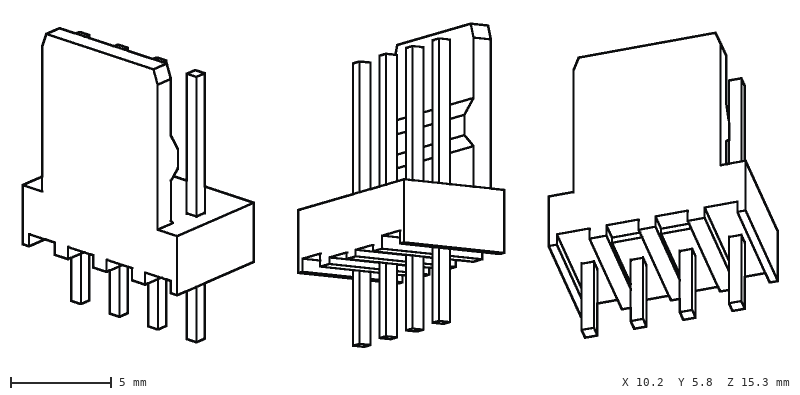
import cadquery as cq

pin_count = 4
pitch = 2.53
pin_side = 0.64
pin_y = -0.02
pin_bottom = 0.0
pin_top = 14.22

base_width = 10.16
base_depth = 5.8
base_bottom = 3.57
base_top = 6.75

slot_height = 0.65
shallow_slot_height = slot_height / 2
rib_width = 0.87
foot_width = 0.43
deep_slot_length = 1.0

wall_width = 7.6
wall_thickness = 1.0
wall_top = 15.26
corner_run = 0.27
corner_drop = 0.75
root_chamfer = 0.15

latch_reach = 0.53
latch_bottom = 9.05
latch_face_bottom = 9.55
latch_face_top = 10.58
latch_top = 11.48

front_y = -base_depth / 2
wall_back_y = front_y + wall_thickness
latch_y = wall_back_y + latch_reach
pin_centers = [(i - (pin_count - 1) / 2) * pitch for i in range(pin_count)]


def box(x_min, x_max, y_min, y_max, z_min, z_max):
    """Box between the given limits."""
    size = (x_max - x_min, y_max - y_min, z_max - z_min)
    return cq.Workplane("XY").box(*size, centered=False).translate((x_min, y_min, z_min))


def make_pin(x):
    """Square pin centred at x, running straight through the base."""
    half = pin_side / 2
    return box(x - half, x + half, pin_y - half, pin_y + half, pin_bottom, pin_top)


def make_wall():
    """Upright locking wall with a latch ridge and sloped top corners."""
    profile = [
        (front_y, base_top),
        (wall_back_y + root_chamfer, base_top),
        (wall_back_y, base_top + root_chamfer),
        (wall_back_y, latch_bottom),
        (latch_y, latch_face_bottom),
        (latch_y, latch_face_top),
        (wall_back_y, latch_top),
        (wall_back_y, wall_top),
        (front_y, wall_top),
    ]
    half = wall_width / 2
    wall = cq.Workplane("YZ").polyline(profile).close().extrude(half, both=True)
    for side in (-1, 1):
        corner = [
            (side * half, wall_top),
            (side * (half - corner_run), wall_top),
            (side * half, wall_top - corner_drop),
        ]
        wall = wall.cut(cq.Workplane("XZ").polyline(corner).close().extrude(base_depth, both=True))
    return wall


def make_slot(index):
    """Space of the standoff slot around one pin; inner slots step down behind the front."""
    is_first = index == 0
    is_last = index == pin_count - 1
    slot_half_width = (pitch - rib_width) / 2
    x_min = pin_centers[index] - slot_half_width
    x_max = pin_centers[index] + slot_half_width
    if is_first:
        x_min = -base_width / 2 + foot_width
    if is_last:
        x_max = base_width / 2 - foot_width
    deep_top = base_bottom + slot_height
    if is_first or is_last:
        return box(x_min, x_max, front_y, -front_y, base_bottom, deep_top)
    deep_part = box(x_min, x_max, front_y, front_y + deep_slot_length, base_bottom, deep_top)
    shallow_top = base_bottom + shallow_slot_height
    return deep_part.union(box(x_min, x_max, front_y, -front_y, base_bottom, shallow_top))


def make_housing():
    """Base block and locking wall, slotted underneath and pierced for the pins."""
    half = base_width / 2
    housing = box(-half, half, front_y, -front_y, base_bottom, base_top).union(make_wall())
    for index, x in enumerate(pin_centers):
        housing = housing.cut(make_slot(index)).cut(make_pin(x))
    return housing.solids()


housing = make_housing()
pins = [make_pin(x) for x in pin_centers]

result = cq.Compound.makeCompound([housing.val(), *[pin.val() for pin in pins]])